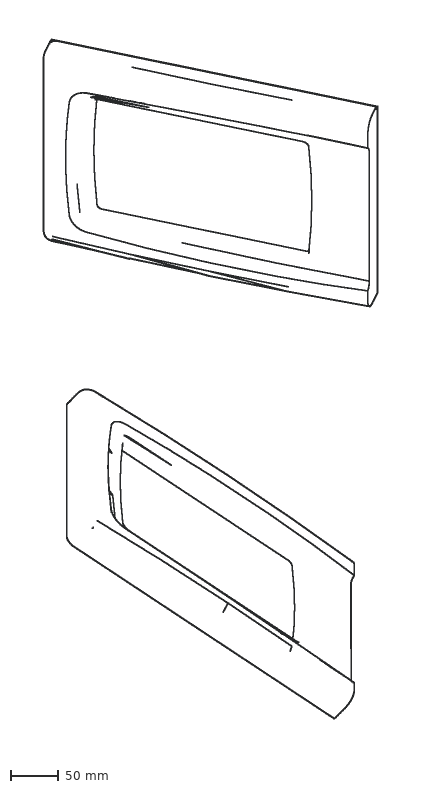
import cadquery as cq

LENGTH = 365.0
HEIGHT = 260.0
DEPTH = 37.5
EDGE_DEPTH = 33.5
CROWN_START = 14.0
FRONT_RADIUS = 15.0
CORNER_RADIUS = 10.2

REBATE_DEPTH = 4.7
REBATE_HEIGHT = 3.3

RECESS_DEPTH = 28.5
RECESS_CENTER_Z = -2.5
RECESS_LEFT = 27.5
RECESS_CORNER_X = 34.0
RECESS_START_HALF = 95.5
RECESS_PEAK_X = 255.5
RECESS_PEAK_HALF = 101.5
RECESS_END_HALF = 100.0
RECESS_CORNER_RADIUS = 22.0
RECESS_FLOOR_RADIUS = 11.3

WINDOW_LEFT = 54.0
WINDOW_RIGHT = 299.0
WINDOW_BOW = 4.0
WINDOW_HEIGHT = 157.5
WINDOW_CENTER_Z = -1.0
WINDOW_CORNER_RADIUS = 5.5
RIM_RADIUS = 7.5

WINDOW_WALL = 6.2

SCREEN_THICKNESS = 3.5
SCREEN_FRONT = RECESS_DEPTH - RIM_RADIUS - WINDOW_WALL
CLEARANCE = 18.2


def front_plane(distance):
    """Plane at a distance from the back, with X right, Z up and -Y as normal."""
    return cq.Workplane("XZ").workplane(offset=distance)


def window_prism(back, front):
    """Prism with the window outline, between two distances from the back."""
    half = WINDOW_HEIGHT / 2
    top = WINDOW_CENTER_Z + half
    bottom = WINDOW_CENTER_Z - half
    left_corner = WINDOW_LEFT + WINDOW_BOW
    right_corner = WINDOW_RIGHT - WINDOW_BOW
    return (
        front_plane(back)
        .moveTo(left_corner, bottom)
        .lineTo(right_corner, bottom)
        .threePointArc((WINDOW_RIGHT, WINDOW_CENTER_Z), (right_corner, top))
        .lineTo(left_corner, top)
        .threePointArc((WINDOW_LEFT, WINDOW_CENTER_Z), (left_corner, bottom))
        .close()
        .extrude(front - back)
        .edges("|Y")
        .fillet(WINDOW_CORNER_RADIUS)
    )


def housing_blank():
    """Block with a crowned front, rounded on all sides but the +X end."""
    crown_middle = (CROWN_START + LENGTH) / 2
    rise = DEPTH - EDGE_DEPTH
    reach = LENGTH - crown_middle
    start_depth = DEPTH - rise * (crown_middle / reach) ** 2
    blank = (
        cq.Workplane("XY")
        .lineTo(LENGTH, 0)
        .lineTo(LENGTH, -EDGE_DEPTH)
        .threePointArc((crown_middle, -DEPTH), (0, -start_depth))
        .close()
        .extrude(HEIGHT / 2, both=True)
    )
    blank = blank.edges("<X and |Y").fillet(CORNER_RADIUS)
    return blank.faces("<Y").edges("not >X").fillet(FRONT_RADIUS)


def rebate_cutter():
    return cq.Workplane("XY").box(LENGTH, REBATE_DEPTH, REBATE_HEIGHT, centered=False).translate(
        (0, -REBATE_DEPTH, HEIGHT / 2 - REBATE_HEIGHT)
    )


def recess_cutter():
    """Recess with bowed sides, blended into its floor by a concave fillet."""
    end = LENGTH + CLEARANCE
    cutter = (
        front_plane(RECESS_DEPTH)
        .moveTo(end, -RECESS_END_HALF)
        .lineTo(LENGTH, -RECESS_END_HALF)
        .threePointArc((RECESS_PEAK_X, -RECESS_PEAK_HALF), (RECESS_CORNER_X, -RECESS_START_HALF))
        .threePointArc((RECESS_LEFT, 0), (RECESS_CORNER_X, RECESS_START_HALF))
        .threePointArc((RECESS_PEAK_X, RECESS_PEAK_HALF), (LENGTH, RECESS_END_HALF))
        .lineTo(end, RECESS_END_HALF)
        .close()
        .extrude(CLEARANCE)
    )
    cutter = cutter.edges("|Y").edges("<X").fillet(RECESS_CORNER_RADIUS)
    cutter = cutter.faces(">Y").edges("not >X").fillet(RECESS_FLOOR_RADIUS)
    return cutter.translate((0, 0, RECESS_CENTER_Z))


def rim_cutter():
    """Plug that flares toward the front, leaving a convex rounded window rim."""
    plate = (
        front_plane(SCREEN_FRONT)
        .center(LENGTH / 2, 0)
        .rect(LENGTH, HEIGHT)
        .extrude(RECESS_DEPTH - SCREEN_FRONT)
    )
    ring = plate.cut(window_prism(SCREEN_FRONT, RECESS_DEPTH))
    ring = ring.faces("<Y").wires(cq.selectors.LengthNthSelector(0)).edges().fillet(RIM_RADIUS)
    return plate.cut(ring)


def make_screen():
    return window_prism(SCREEN_FRONT - SCREEN_THICKNESS, SCREEN_FRONT)


screen = make_screen()
housing = (
    housing_blank()
    .cut(rebate_cutter())
    .cut(recess_cutter())
    .cut(rim_cutter())
    .cut(screen)
)

result = cq.Compound.makeCompound([housing.val(), screen.val()])